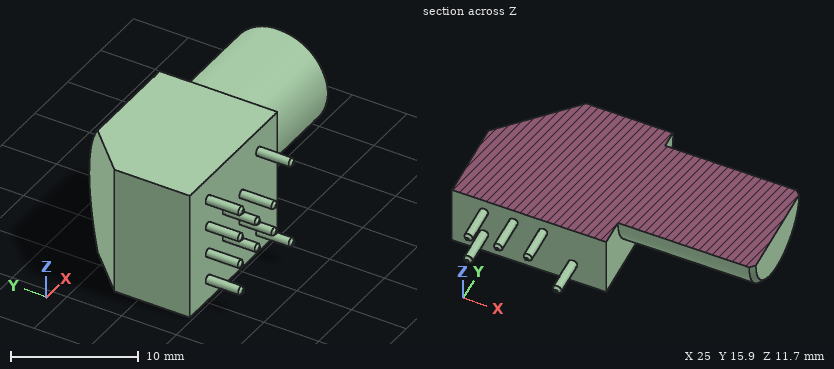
import cadquery as cq

length = 13.3
height = 11.7
depth = 12.7
slant = 5.8
arch_rise = 1.9

total_length = 25.0
barrel_diameter = 9.0
barrel_y = 6.7
barrel_chamfer = 0.4

corner_pin_length = 3.2
signal_pin_length = 3.15
pin_tip_chamfer = 0.22
signal_diameter = 0.72
corner_diameter = 0.78
pitch = 2.55
first_pin_x = 2.78


def housing():
    half = height / 2
    arched = (
        cq.Workplane("YZ")
        .moveTo(0, -half)
        .lineTo(depth - arch_rise, -half)
        .threePointArc((depth, 0), (depth - arch_rise, half))
        .lineTo(0, half)
        .close()
        .extrude(length)
    )
    corner = (
        cq.Workplane("XY")
        .polyline([(0, depth), (slant, depth), (0, depth - slant)])
        .close()
        .extrude(half, both=True)
    )
    return arched.cut(corner)


def barrel():
    return (
        cq.Workplane("YZ", origin=(length, barrel_y, 0))
        .circle(barrel_diameter / 2)
        .extrude(total_length - length)
        .faces(">X")
        .chamfer(barrel_chamfer)
    )


def pins(diameter, pin_length, places):
    return (
        cq.Workplane("XZ")
        .pushPoints(places)
        .circle(diameter / 2)
        .extrude(pin_length)
        .faces("<Y")
        .chamfer(pin_tip_chamfer)
    )


signal_places = [
    (first_pin_x + column * pitch, side * pitch / 2)
    for column in range(3)
    for side in (-1, 1)
]
corner_places = [
    (first_pin_x + column * pitch, side * 1.5 * pitch)
    for column in (0, 3)
    for side in (-1, 1)
]

result = (
    housing()
    .union(barrel())
    .union(pins(signal_diameter, signal_pin_length, signal_places))
    .union(pins(corner_diameter, corner_pin_length, corner_places))
)